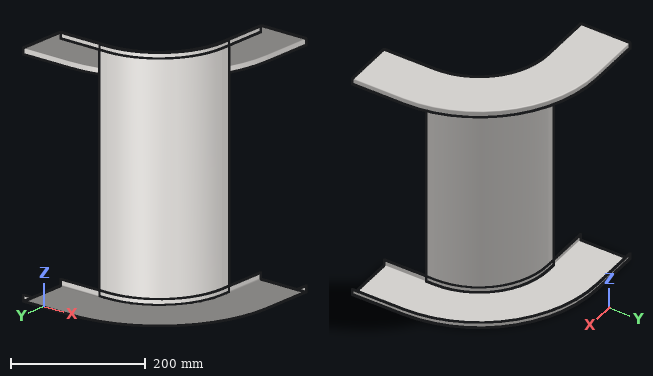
import cadquery as cq
import math

SIDE = 298.5
HEIGHT = 403.0

STRAIGHT = 90.0
WIDTH = 88.3
SHEET = 1.0
FLANGE_HEIGHT = 11.0
FOLD_RADIUS = 2.0

PANEL_LEG = 15.0
PANEL_THICKNESS = SHEET

OUTER_RADIUS = SIDE - STRAIGHT
INNER_RADIUS = OUTER_RADIUS - WIDTH
PANEL_RADIUS = INNER_RADIUS + SHEET


def bent_strip(outer_radius, inner_radius, leg, height):
    """Extrude an L-shaped strip with a round bend about the Z axis and two straight legs."""
    diagonal = math.sqrt(0.5)
    return (
        cq.Workplane("XY")
        .moveTo(-leg, outer_radius)
        .lineTo(0, outer_radius)
        .threePointArc((outer_radius * diagonal, outer_radius * diagonal), (outer_radius, 0))
        .lineTo(outer_radius, -leg)
        .lineTo(inner_radius, -leg)
        .lineTo(inner_radius, 0)
        .threePointArc((inner_radius * diagonal, inner_radius * diagonal), (0, inner_radius))
        .lineTo(-leg, inner_radius)
        .close()
        .extrude(height)
    )


def round_folds(strip, radius):
    """Round the long bottom edges, leaving the two edges across the leg ends sharp."""
    return strip.faces("<Z").edges("not(<X or <Y)").fillet(radius)


def make_channel(is_top):
    """Folded channel at one end of the wall, with both flanges pointing towards the other end."""
    blank = bent_strip(OUTER_RADIUS, INNER_RADIUS, STRAIGHT, FLANGE_HEIGHT)
    hollow = bent_strip(OUTER_RADIUS - SHEET, INNER_RADIUS + SHEET, STRAIGHT, FLANGE_HEIGHT)
    blank = round_folds(blank, FOLD_RADIUS)
    hollow = round_folds(hollow, FOLD_RADIUS - SHEET)
    channel = blank.cut(hollow.translate((0, 0, SHEET)))
    if is_top:
        channel = channel.mirror("XY").translate((0, 0, HEIGHT))
    return channel


def make_panel():
    """Curved wall whose top and bottom edges stop where the folds of the channels begin."""
    panel_height = HEIGHT - 2 * FOLD_RADIUS
    panel = bent_strip(PANEL_RADIUS + PANEL_THICKNESS, PANEL_RADIUS, PANEL_LEG, panel_height)
    return panel.translate((0, 0, FOLD_RADIUS))


channels = [make_channel(is_top).val() for is_top in (False, True)]
panel = make_panel()
result = cq.Compound.makeCompound([*channels, panel.val()])